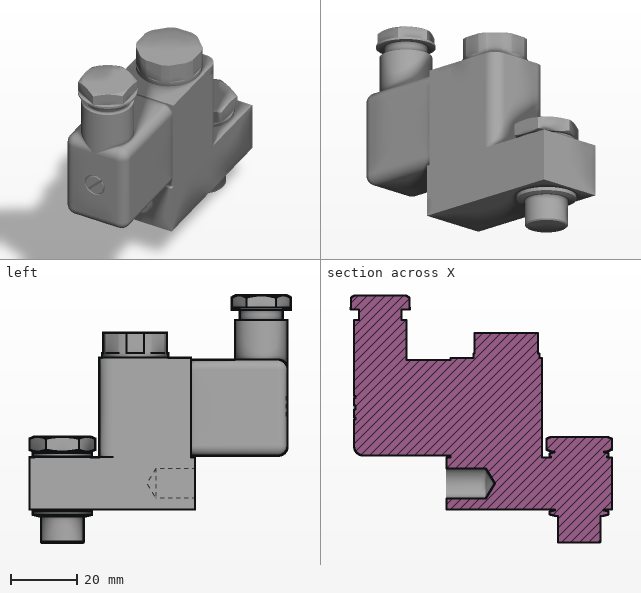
import cadquery as cq
import math


width = 22.0
block_length = 50.0
block_height = 15.9

port_diameter = 8.9
port_depth = 11.85
drill_tip_angle = 118.0

coil_back = -21.0
coil_front = -48.8
coil_top = 45.9
coil_corner_radius = 4.0

cap_y = -31.9
cap_diameter = 20.1
cap_across_flats = 19.35
cap_flat_count = 8
cap_ring_height = 1.4
cap_top = 53.5

box_width = 21.2
box_bottom = 16.3
box_top = 45.35
box_edge_radius = 3.0

screw_z = (box_bottom + box_top) / 2
screw_hole_diameter = 6.95
screw_diameter = 6.0
screw_gap_depth = 0.5
screw_slot_width = 0.7
screw_slot_angle = 45.0

overall_length = 79.0
tower_diameter = 15.95
tower_top = 57.35
neck_diameter = 13.0
flange_diameter = 18.0
flange_bottom = 60.35
flange_top = 61.0
gland_top = 64.8
gland_across_flats = 15.5
gland_chamfer_drop = 0.7
gland_y = -overall_length + flange_diameter / 2
box_front = gland_y - tower_diameter / 2

turning_allowance = 0.1

bolt_across_flats = 17.2
bolt_head_bottom = 17.5
bolt_head_top = 22.05
bolt_chamfer_drop = 0.55
bolt_diameter = 13.0
bolt_end = -10.0
bolt_end_chamfer = 0.4
bolt_y = -bolt_across_flats / math.sqrt(3)

washer_thickness = 2.0
washer_diameter = 18.0
washer_face_diameter = 14.2
washer_bevel_height = 0.5


def box_between(size_x, y_start, y_end, z_start, z_end):
    """Box centred on X, between two Y values and two Z values."""
    return (
        cq.Workplane("XY", origin=(0, (y_start + y_end) / 2, z_start))
        .box(size_x, abs(y_end - y_start), z_end - z_start, centered=(True, True, False))
    )


def upright_cylinder(diameter, y, z_start, z_end):
    """Cylinder along Z on the middle plane."""
    return cq.Workplane("XY", origin=(0, y, z_start)).circle(diameter / 2).extrude(z_end - z_start)


def hex_head(across_flats, y, z_start, z_end, chamfer_drop, chamfer_bottom):
    """Hexagon with corners on the Y axis, its corners turned off by a cone."""
    flat_radius = across_flats / 2
    corner_radius = across_flats / math.sqrt(3)
    hexagon = (
        cq.Workplane("XY", origin=(0, y, z_start))
        .polygon(6, 2 * corner_radius)
        .extrude(z_end - z_start)
        .rotate((0, y, 0), (0, y, 1), 30)
    )
    turned_radius = flat_radius - turning_allowance
    blank = cq.Workplane("XY", origin=(0, y, z_start)).circle(corner_radius).extrude(z_end - z_start)
    turned_faces = "|Z" if chamfer_bottom else ">Z"
    blank = blank.faces(turned_faces).chamfer(chamfer_drop, corner_radius - turned_radius)
    return hexagon.intersect(blank)


def valve_block():
    block = box_between(width, 0, -block_length, 0, block_height)
    port_radius = port_diameter / 2
    tip_length = port_radius / math.tan(math.radians(drill_tip_angle / 2))
    port = (
        cq.Workplane("YZ")
        .moveTo(-block_length, block_height / 2)
        .line(0, port_radius)
        .line(port_depth, 0)
        .line(tip_length, -port_radius)
        .close()
        .revolve(360, (0, block_height / 2, 0), (1, block_height / 2, 0))
    )
    return block.cut(port)


def coil():
    body = box_between(width, coil_back, coil_front, block_height, coil_top)
    return body.edges("|Z and >Y").fillet(coil_corner_radius)


def cap():
    ring_top = coil_top + cap_ring_height
    ring = upright_cylinder(cap_diameter, cap_y, coil_top, ring_top)
    prism = (
        cq.Workplane("XY", origin=(0, cap_y, ring_top))
        .polygon(cap_flat_count, cap_across_flats, circumscribed=True)
        .extrude(cap_top - ring_top)
    )
    knob = upright_cylinder(cap_diameter, cap_y, ring_top, cap_top).intersect(prism)
    return ring.union(knob)


def connector_box():
    body = box_between(box_width, coil_front, box_front, box_bottom, box_top)
    body = body.edges("|Y or <Y").fillet(box_edge_radius)
    front = cq.Workplane("XZ", origin=(0, box_front, screw_z))
    gap = front.circle(screw_hole_diameter / 2).circle(screw_diameter / 2).extrude(-screw_gap_depth)
    slot = (
        front.transformed(rotate=(0, 0, screw_slot_angle))
        .rect(screw_diameter, screw_slot_width)
        .extrude(-screw_gap_depth)
    )
    return body.cut(gap).cut(slot)


def cable_gland():
    tower = upright_cylinder(tower_diameter, gland_y, box_top - box_edge_radius, tower_top)
    neck = upright_cylinder(neck_diameter, gland_y, tower_top, flange_bottom)
    flange = upright_cylinder(flange_diameter, gland_y, flange_bottom, flange_top)
    nut = hex_head(gland_across_flats, gland_y, flange_top, gland_top, gland_chamfer_drop, False)
    return tower.union(neck).union(flange).union(nut)


def banjo_bolt():
    head = hex_head(
        bolt_across_flats, bolt_y, bolt_head_bottom, bolt_head_top, bolt_chamfer_drop, True
    )
    shank = upright_cylinder(bolt_diameter, bolt_y, bolt_end, 0)
    shank = shank.faces("<Z").chamfer(bolt_end_chamfer)
    upper_washer = sealing_washer(bolt_head_bottom)
    lower_washer = sealing_washer(0)
    return head.union(shank).union(upper_washer).union(lower_washer)


def sealing_washer(z_top):
    """Disc around the bolt with a cone on both faces, hanging down from z_top."""
    face_radius = washer_face_diameter / 2
    rim_radius = washer_diameter / 2
    half_profile = [
        (0, z_top),
        (face_radius, z_top),
        (rim_radius, z_top - washer_bevel_height),
        (rim_radius, z_top - washer_thickness + washer_bevel_height),
        (face_radius, z_top - washer_thickness),
        (0, z_top - washer_thickness),
    ]
    profile = cq.Workplane("XZ", origin=(0, bolt_y, 0)).polyline(half_profile).close()
    return profile.revolve(360, (0, 0, 0), (0, 1, 0))


result = (
    valve_block()
    .union(coil())
    .union(cap())
    .union(connector_box())
    .union(cable_gland())
    .union(banjo_bolt())
)